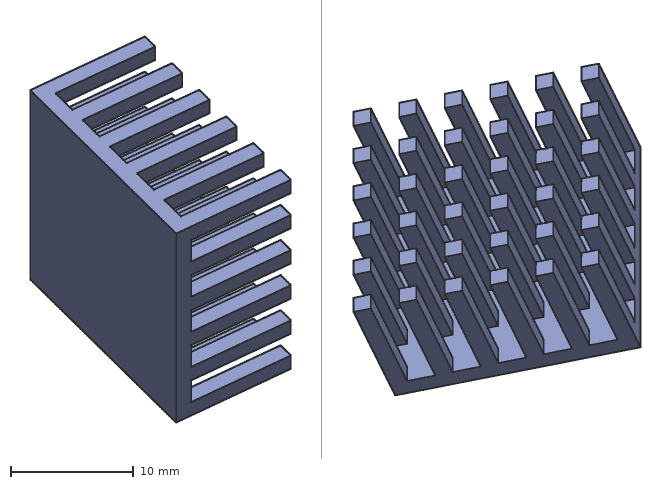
import cadquery as cq

side = 21.0
total_depth = 11.4
base_thickness = 1.51
pin_width = 1.5
pins_per_side = 6

pin_length = total_depth - base_thickness
pin_pitch = (side - pin_width) / (pins_per_side - 1)


def make_base():
    """Plate centred on X and Z, with its flat outer face at Y = 0."""
    return cq.Workplane("XY").box(side, base_thickness, side, centered=(True, False, True))


def add_pins(base):
    """Extrude the pin grid from the +Y face of the base plate."""
    return (
        base.faces(">Y")
        .workplane(centerOption="CenterOfBoundBox")
        .rarray(pin_pitch, pin_pitch, pins_per_side, pins_per_side)
        .rect(pin_width, pin_width)
        .extrude(pin_length)
    )


result = add_pins(make_base())